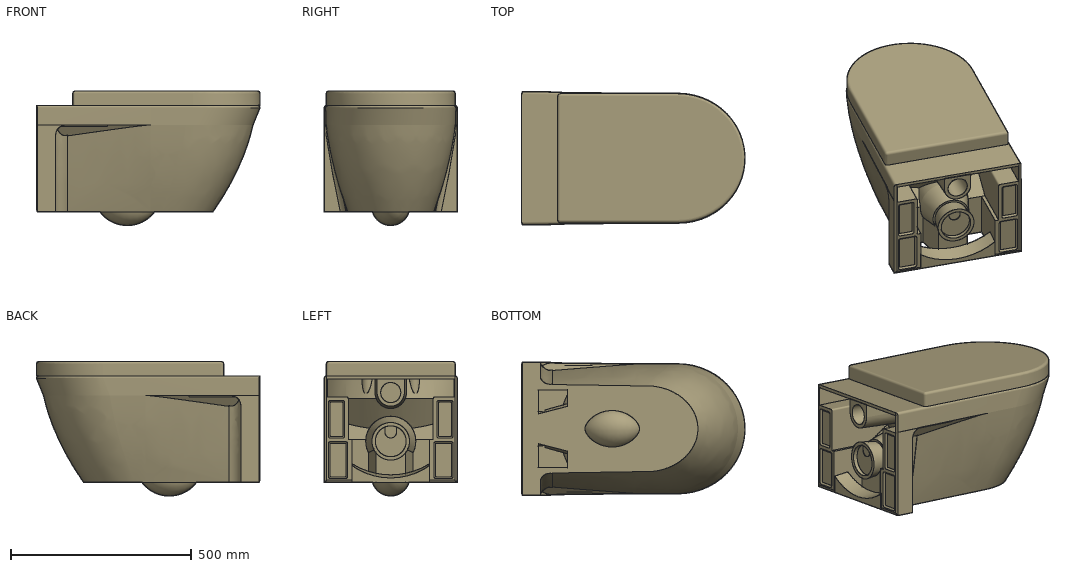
import cadquery as cq
import math

length = 620.5
rear_width = 369.0
rear_half_width = rear_width / 2
rim_height = 296.0
ledge_height = 241.0
slab_depth = 53.5
shoulder_x = 316.5

lid_rear_x = 100.5
lid_top = 335.5
lid_width = 358.0
lid_half_width = lid_width / 2
lid_nose_x = 434.0
lid_round = 7.5

rim_round = 7.5
rim_fillet = rim_round - 0.05
band_tip_x = 601.0
base_tip_x = 489.5
band_nose_x = 415.5
base_nose_x = 347.5
rim_shoulder_half_width = 180.5
band_shoulder_half_width = 179.0
base_shoulder_half_width = 119.0
recess_half_width_top = 161.0
recess_half_width_base = 124.0
recess_corner_round = 27.0
recess_root_reach = 32.0
recess_root_rise = 16.0
ledge_root_drop = 49.5
ledge_faded_drop = 2.5
ledge_faded_inset = 0.5
ledge_inner = 149.0
ledge_outer = 182.5
rear_bevel_width = 7.0
rear_bevel_depth = 2.5
skin_bulge = 1.5
skin_levels = (0, 0.3, 0.6, 1.0)
root_step = 1.0
overlap = 6.0

rim_wall = 8.5
pier_half_gap = 118.0
pier_top = 237.0
pier_round = 5.0
step_height = 119.0
low_half_gap = 108.0
trap_face_x = 127.0
cavity_end_x = 211.0
shelf_rise = 0.66

core_radius = 217.0
core_foot_z = 124.0
core_foot_x = 186.0
core_waist_z = 232.5
core_waist_x = 105.5
core_top_x = 121.0

lip_face_x = 2.5
lip_depth = 47.0
lip_outer_low = 12.5
lip_outer_high = 47.0
lip_inner_low = 21.0
lip_inner_high = 52.0

pad_depth = 5.0
pad_wall_angle = 45.0
pad_corner = 6.0
pad_outer = 173.0
upper_pad_inner = 128.0
upper_pad_base = 123.0
upper_pad_top = 227.5
lower_pad_inner = 120.0
lower_pad_base = 10.5
lower_pad_top = 113.5

inlet_z = 249.5
inlet_hole_radius = 28.0
inlet_boss_radius = 38.0
inlet_boss_reach = 124.0
inlet_boss_draft = 3.0
inlet_face_x = 3.0
inlet_hole_depth = 74.5

outlet_z = 114.0
outlet_radius = 52.0
outlet_face_x = 18.5
outlet_neck_radius = 46.5
outlet_cone_x = 65.0
outlet_cone_radius = 69.5
socket_radius = 43.0
socket_depth = 12.5
port_radius = 16.0
port_z = 139.5
port_depth = 1.0
neck_face_x = lip_depth
neck_half_width = 41.5
neck_root_half_width = 62.0

hinge_y = 64.0
hinge_x = 135.0
hinge_radius = 16.0
hinge_base = 237.5

bulb_x = 252.0
bulb_drop = 38.0
bulb_radius = 53.0
bulb_sweep_radius = 94.0


def nose_outline(z, rear_x, rear_half, shoulder_half, nose_x, tip_x):
    """Horizontal D-shaped outline with straight tapering sides and a half-ellipse nose."""
    plane = cq.Workplane("XY").workplane(offset=z)
    return (
        plane.moveTo(rear_x, rear_half)
        .lineTo(rear_x, -rear_half)
        .lineTo(shoulder_x, -shoulder_half)
        .lineTo(nose_x, -shoulder_half)
        .ellipseArc(tip_x - nose_x, shoulder_half, -90, 90, startAtCurrent=True, sense=1)
        .lineTo(shoulder_x, shoulder_half)
        .close()
        .val()
    )


def blend(low, high, fraction):
    return low + (high - low) * fraction


def box(x0, x1, y0, y1, z0, z1):
    return cq.Workplane("XY").box(x1 - x0, y1 - y0, z1 - z0, centered=False).translate((x0, y0, z0))


def rod(x0, x1, radius, z):
    """Cylinder lying along X on the centre plane."""
    return cq.Workplane("YZ", origin=(x0, 0, z)).circle(radius).extrude(x1 - x0)


def upper_band():
    """Full-width band below the rim, with an upright rounded edge on top."""
    edge_z = rim_height - rim_round
    lower = nose_outline(
        ledge_height, 0, rear_half_width, band_shoulder_half_width, band_nose_x, band_tip_x
    )
    upper = nose_outline(edge_z, 0, rear_half_width, rim_shoulder_half_width, lid_nose_x, length)
    flare = cq.Workplane(cq.Solid.makeLoft([lower, upper], True))
    edge = cq.Workplane(cq.Solid.extrudeLinear(upper, [], cq.Vector(0, 0, rim_round)))
    return flare.union(edge).faces(">Z").edges("not <X").fillet(rim_fillet)


def bulge(fraction):
    """Share of the flare reached at a fraction of the ledge height."""
    return skin_bulge * fraction - (skin_bulge - 1) * fraction**2


def shoulder_half_width(fraction):
    return blend(base_shoulder_half_width, band_shoulder_half_width, bulge(fraction))


def side_half_width(x, fraction):
    """Half width of the recess wall, a straight taper from the wall face to the shoulder."""
    rear_half = blend(recess_half_width_base, recess_half_width_top, fraction)
    return blend(rear_half, shoulder_half_width(fraction), x / shoulder_x)


def lower_skin():
    rear_x = slab_depth / 2
    sections = []
    for fraction in skin_levels:
        sections.append(
            nose_outline(
                ledge_height * fraction,
                rear_x,
                side_half_width(rear_x, fraction),
                shoulder_half_width(fraction),
                blend(base_nose_x, band_nose_x, bulge(fraction)),
                blend(base_tip_x, band_tip_x, bulge(fraction)),
            )
        )
    return cq.Workplane(cq.Solid.makeLoft(sections))


def slab():
    """Mounting slab, with a rounded web in the top corner of each side recess."""
    block = box(0, shoulder_x, -rear_half_width, rear_half_width, 0, ledge_height)
    opening = box(slab_depth, length, -length, length, -length, ledge_height)
    opening = opening.edges("<X and >Z").fillet(recess_corner_round)
    return block.cut(opening)


def ledge_section(x, inner_y, outer_y, drop):
    """Triangle across the root of the recess ledge."""
    return cq.Wire.makePolygon(
        [
            cq.Vector(x, inner_y, ledge_height),
            cq.Vector(x, outer_y, ledge_height),
            cq.Vector(x, inner_y, ledge_height - drop),
        ],
        close=True,
    )


def ledge_root():
    """Sloping root under the ledge of the -Y recess, fading out at the shoulder."""
    deep_end = ledge_section(slab_depth - overlap, -ledge_inner, -ledge_outer, ledge_root_drop)
    faded_outer = band_shoulder_half_width - ledge_faded_inset
    faded_inner = faded_outer - ledge_faded_drop
    faded_end = ledge_section(shoulder_x - overlap, -faded_inner, -faded_outer, ledge_faded_drop)
    return cq.Workplane(cq.Solid.makeLoft([deep_end, faded_end], True))


def recess_root():
    """Concave rounded corner between the slab and the -Y recess wall."""
    front_x = slab_depth + recess_root_reach
    arc_middle = 1 - math.sqrt(0.5)
    sections = []
    for fraction in skin_levels:
        wall_y = -side_half_width(front_x, fraction) - root_step
        edge_y = wall_y - recess_root_rise
        sections.append(
            cq.Workplane("XY")
            .workplane(offset=ledge_height * fraction)
            .moveTo(slab_depth - overlap, wall_y + overlap)
            .lineTo(slab_depth - overlap, edge_y)
            .lineTo(slab_depth, edge_y)
            .threePointArc(
                (slab_depth + recess_root_reach * arc_middle, wall_y - recess_root_rise * arc_middle),
                (front_x, wall_y),
            )
            .lineTo(front_x, wall_y + overlap)
            .close()
            .val()
        )
    return cq.Workplane(cq.Solid.makeLoft(sections))


def outer_skin():
    skin = upper_band().union(lower_skin()).union(slab())
    for root in (ledge_root(), recess_root()):
        skin = skin.union(root).union(root.mirror("XZ"))
    for side in (-1, 1):
        skin = skin.cut(rear_bevel(side))
    return skin.cut(base_bevel())


def rear_bevel(side):
    """Shallow bevel along the upright rear corner of the slab."""
    corner = side * rear_half_width
    outline = [(0, corner), (rear_bevel_depth, corner), (0, corner - side * rear_bevel_width)]
    return cq.Workplane("XY").polyline(outline).close().extrude(rim_height)


def base_bevel():
    """Shallow bevel along the lower rear edge of the slab."""
    return side_prism([(0, 0), (rear_bevel_depth, 0), (0, rear_bevel_width)], rear_half_width)


def side_prism(points, half_width):
    """X-Z outline extruded symmetrically about the centre plane."""
    return cq.Workplane("XZ").polyline(points).close().extrude(half_width, both=True)


def bowl_core():
    """Back of the bowl, leaning out to a waist and falling away below it."""
    levels = [(core_foot_z, core_foot_x), (core_waist_z, core_waist_x), (rim_height, core_top_x)]
    sections = [
        cq.Wire.makeCircle(core_radius, cq.Vector(front_x + core_radius, 0, z), cq.Vector(0, 0, 1))
        for z, front_x in levels
    ]
    return cq.Workplane(cq.Solid.makeLoft(sections, True))


def cavity():
    """Hollow behind the wall face: wide above the piers, narrower between them, open below."""
    ceiling = rim_height - rim_wall
    rim_half = rear_half_width - rim_wall
    shelf_end_z = step_height + shelf_rise * (cavity_end_x - trap_face_x)
    rim_zone = box(0, cavity_end_x, -rim_half, rim_half, pier_top, ceiling)
    middle_zone = side_prism(
        [
            (0, step_height),
            (0, ceiling),
            (cavity_end_x, ceiling),
            (cavity_end_x, shelf_end_z),
            (trap_face_x, step_height),
        ],
        pier_half_gap,
    )
    low_zone = box(0, trap_face_x, -low_half_gap, low_half_gap, 0, step_height).cut(lip())
    upper_zone = rim_zone.union(middle_zone)
    for side in (-1, 1):
        edge = cq.selectors.NearestToPointSelector((cavity_end_x / 2, side * pier_half_gap, pier_top))
        upper_zone = upper_zone.edges(edge).fillet(pier_round)
    return upper_zone.cut(bowl_core()).union(low_zone)


def lip_section(x, low, high):
    return (
        cq.Workplane("YZ", origin=(x, 0, 0))
        .moveTo(-low_half_gap, 0)
        .lineTo(-low_half_gap, high)
        .threePointArc((0, low), (low_half_gap, high))
        .lineTo(low_half_gap, 0)
        .close()
        .val()
    )


def lip():
    """Dished sill across the bottom of the cavity, rising away from the wall."""
    outer = lip_section(lip_face_x, lip_outer_low, lip_outer_high)
    inner = lip_section(lip_depth, lip_inner_low, lip_inner_high)
    return cq.Workplane(cq.Solid.makeLoft([outer, inner], True))


def pad(inner_y, base_z, top_z, side):
    """Shallow pocket with bevelled walls in the wall face of a pier."""
    middle = (0, side * (pad_outer + inner_y) / 2, (base_z + top_z) / 2)
    outline = cq.Sketch().rect(pad_outer - inner_y, top_z - base_z).vertices().fillet(pad_corner)
    return cq.Workplane("YZ", origin=middle).placeSketch(outline).extrude(pad_depth, taper=pad_wall_angle)


def hinge_bosses():
    """Upright bosses that grow out of the back of the cavity under the rim."""
    centres = [(hinge_x, hinge_y), (hinge_x, -hinge_y)]
    height = rim_height - rim_wall - hinge_base
    bosses = cq.Workplane("XY").workplane(offset=hinge_base).pushPoints(centres)
    return bosses.circle(hinge_radius).extrude(height)


def inlet_boss():
    """Round-bottomed boss for the water inlet, hanging from the rim and widening inwards."""
    flank_height = rim_height - rim_wall - inlet_z
    return (
        cq.Workplane("YZ", origin=(inlet_face_x, 0, inlet_z))
        .moveTo(-inlet_boss_radius, flank_height)
        .lineTo(-inlet_boss_radius, 0)
        .threePointArc((0, -inlet_boss_radius), (inlet_boss_radius, 0))
        .lineTo(inlet_boss_radius, flank_height)
        .close()
        .extrude(inlet_boss_reach, taper=-inlet_boss_draft)
    )


def trap_neck():
    """Block that narrows from the trap face towards the wall, below the outlet."""
    outline = [
        (trap_face_x, neck_root_half_width),
        (neck_face_x, neck_half_width),
        (neck_face_x, -neck_half_width),
        (trap_face_x, -neck_root_half_width),
    ]
    return cq.Workplane("XY").polyline(outline).close().extrude(outlet_z)


def outlet():
    """Waste pipe that widens into the trap block."""
    end_x = cavity_end_x + overlap
    half_profile = [
        (outlet_face_x, 0),
        (outlet_face_x, outlet_radius),
        (outlet_cone_x, outlet_neck_radius),
        (outlet_cone_x, outlet_radius),
        (trap_face_x, outlet_cone_radius),
        (end_x, outlet_cone_radius),
        (end_x, 0),
    ]
    pipe = cq.Workplane("XZ").polyline(half_profile).close().revolve(360, (0, 0), (1, 0))
    return pipe.translate((0, 0, outlet_z))


def outlet_openings():
    """Socket in the pipe mouth, with the round-bottomed port in its floor."""
    floor_x = outlet_face_x + socket_depth
    socket = rod(outlet_face_x, floor_x, socket_radius, outlet_z)
    port_end = floor_x + port_depth
    port_sides = box(floor_x, port_end, -port_radius, port_radius, port_z, outlet_z + socket_radius)
    port = rod(floor_x, port_end, port_radius, port_z).union(port_sides)
    return socket.union(port.intersect(rod(floor_x, port_end, socket_radius, outlet_z)))


def trap_bulb():
    """Rounded bottom of the trap, an arc turned about a lengthwise axis."""
    axis_z = bulb_radius - bulb_drop
    rise = bulb_sweep_radius - bulb_radius
    half_length = math.sqrt(bulb_sweep_radius**2 - rise**2)
    return (
        cq.Workplane("XZ", origin=(bulb_x, 0, axis_z))
        .moveTo(-half_length, 0)
        .threePointArc((0, -bulb_radius), (half_length, 0))
        .close()
        .revolve(360, (0, 0), (1, 0))
    )


def make_bowl():
    bowl = outer_skin().cut(cavity())
    for feature in (hinge_bosses(), inlet_boss(), trap_neck(), outlet(), trap_bulb()):
        bowl = bowl.union(feature)
    bowl = bowl.cut(outlet_openings())
    bowl = bowl.cut(rod(inlet_face_x, inlet_face_x + inlet_hole_depth, inlet_hole_radius, inlet_z))
    for side in (-1, 1):
        bowl = bowl.cut(pad(upper_pad_inner, upper_pad_base, upper_pad_top, side))
        bowl = bowl.cut(pad(lower_pad_inner, lower_pad_base, lower_pad_top, side))
    return bowl


def make_lid():
    """D-shaped lid lying on the rim."""
    outline = nose_outline(
        rim_height, lid_rear_x, lid_half_width, lid_half_width, lid_nose_x, length
    )
    lid = cq.Workplane(cq.Solid.extrudeLinear(outline, [], cq.Vector(0, 0, lid_top - rim_height)))
    lid = lid.edges("|Z and <X").fillet(lid_round)
    return lid.faces(">Z").edges().fillet(lid_round)


bowl = make_bowl()
lid = make_lid()
result = cq.Compound.makeCompound([bowl.solids().val(), lid.solids().val()])